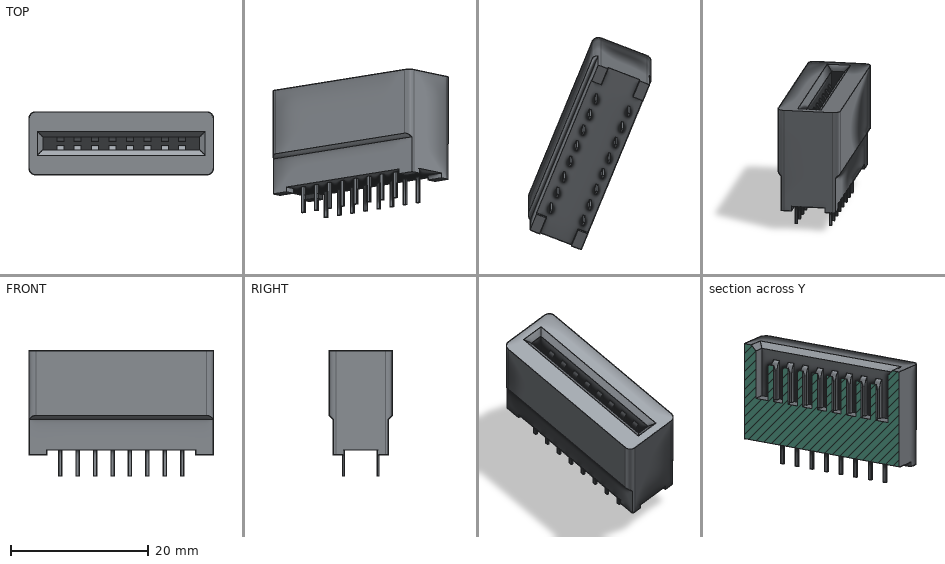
import cadquery as cq
import math


LENGTH = 26.92
WIDTH = 9.2
HEIGHT = 15.2
CORNER_RADIUS = 1.0
LOWER_WIDTH = 8.05
SHOULDER_DEPTH = 10.03

FOOT_HEIGHT = 0.7
GAP_LENGTH = 21.7
GAP_WIDTH = 4.95

SLOT_LENGTH = 22.86
SLOT_WIDTH = 1.87
SLOT_DEPTH = 8.0
LEAD_IN = 0.8

CONTACT_COUNT = 8
PITCH = 2.54
CONTACT_WIDTH = 1.02
CONTACT_GAP = 0.6
CONTACT_DEPTH = 2.2
NOSE_RADIUS = 1.75
CONTACT_ROOT = 0.2
PIN_WIDTH = 0.5
PIN_THICKNESS = 0.3
PIN_LENGTH = 3.1
PIN_ROW_SPACING = 5.08

PIN_POSITIONS = [(i - (CONTACT_COUNT - 1) / 2) * PITCH for i in range(CONTACT_COUNT)]


def make_housing():
    """Rounded block, narrowed in Y below a sloping shoulder."""
    block = (
        cq.Workplane("XY")
        .rect(LENGTH, WIDTH)
        .extrude(HEIGHT)
        .edges("|Z")
        .fillet(CORNER_RADIUS)
    )
    shoulder_z = HEIGHT - SHOULDER_DEPTH
    step = (WIDTH - LOWER_WIDTH) / 2
    profile = (
        cq.Workplane("YZ")
        .moveTo(0, 0)
        .lineTo(LOWER_WIDTH / 2, 0)
        .lineTo(LOWER_WIDTH / 2, shoulder_z)
        .lineTo(WIDTH / 2, shoulder_z + step)
        .lineTo(WIDTH / 2, HEIGHT)
        .lineTo(0, HEIGHT)
        .mirrorY()
        .extrude(LENGTH / 2, both=True)
    )
    return block.intersect(profile)


def make_foot_gaps():
    """Crossing channels under the housing that leave four corner feet."""
    upright = (True, True, False)
    across = cq.Workplane("XY").box(GAP_LENGTH, WIDTH, FOOT_HEIGHT, centered=upright)
    along = cq.Workplane("XY").box(LENGTH, GAP_WIDTH, FOOT_HEIGHT, centered=upright)
    return across.union(along)


def make_slot():
    """Card slot and the tapered lead-in at its mouth."""
    mouth = cq.Workplane("XY").workplane(offset=HEIGHT)
    slot = mouth.rect(SLOT_LENGTH, SLOT_WIDTH).extrude(-SLOT_DEPTH)
    lead_in = (
        mouth.rect(SLOT_LENGTH + 2 * LEAD_IN, SLOT_WIDTH + 2 * LEAD_IN)
        .workplane(offset=-LEAD_IN)
        .rect(SLOT_LENGTH, SLOT_WIDTH)
        .loft(ruled=True)
    )
    return slot.union(lead_in)


def make_contact():
    """Contact on the +Y slot wall, centred on X = 0: a rounded nose above a flat upright face."""
    wall_y = SLOT_WIDTH / 2
    root_y = wall_y + CONTACT_ROOT
    tip_y = CONTACT_GAP / 2
    top_z = HEIGHT - CONTACT_DEPTH
    floor_z = HEIGHT - SLOT_DEPTH

    nose_angle = math.acos(1 - (wall_y - tip_y) / NOSE_RADIUS)
    nose_end_z = top_z - NOSE_RADIUS * math.sin(nose_angle)
    middle_y = tip_y + NOSE_RADIUS * (1 - math.cos(nose_angle / 2))
    middle_z = nose_end_z + NOSE_RADIUS * math.sin(nose_angle / 2)
    return (
        cq.Workplane("YZ")
        .moveTo(root_y, floor_z)
        .lineTo(root_y, top_z)
        .lineTo(wall_y, top_z)
        .threePointArc((middle_y, middle_z), (tip_y, nose_end_z))
        .lineTo(tip_y, floor_z)
        .close()
        .extrude(CONTACT_WIDTH / 2, both=True)
    )


def make_pin():
    """Solder pin of the +Y row, centred on X = 0, reaching up to the housing underside."""
    return (
        cq.Workplane("XY")
        .workplane(offset=-PIN_LENGTH)
        .center(0, PIN_ROW_SPACING / 2)
        .rect(PIN_WIDTH, PIN_THICKNESS)
        .extrude(PIN_LENGTH + FOOT_HEIGHT)
    )


def at_every_position(feature):
    """Copies of a +Y feature at each contact position, in both rows."""
    pair = feature.union(feature.mirror("XZ")).val()
    spots = [(x, 0) for x in PIN_POSITIONS]
    return cq.Workplane("XY").pushPoints(spots).eachpoint(pair, combine=False).combine()


result = (
    make_housing()
    .cut(make_foot_gaps())
    .cut(make_slot())
    .union(at_every_position(make_contact()))
    .union(at_every_position(make_pin()))
)